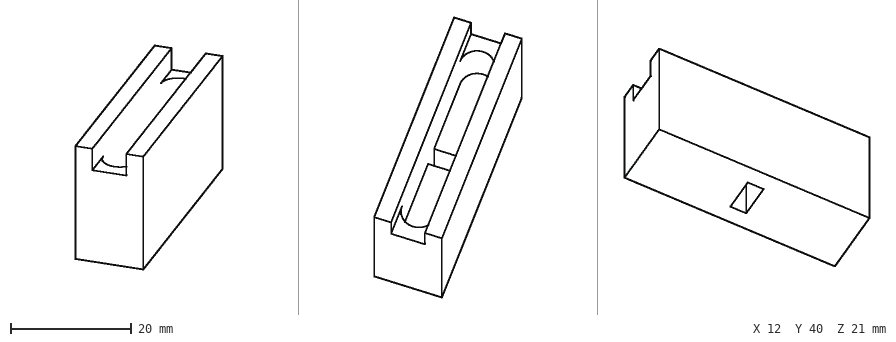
import cadquery as cq

width = 12.0
length = 40.0
height = 21.0

channel_width = width / 2
channel_depth = 4.0
channel_floor = height - channel_depth

pocket_length = 35.0
pocket_depth = 8.0

window_length = 3.0


def make_block():
    return cq.Workplane("XY").box(width, length, height, centered=(True, True, False))


def make_channel():
    return (
        cq.Workplane("XY", origin=(0, 0, channel_floor))
        .box(channel_width, length, channel_depth, centered=(True, True, False))
    )


def make_pocket():
    return (
        cq.Workplane("XY", origin=(0, 0, channel_floor))
        .slot2D(pocket_length, channel_width, 90)
        .extrude(-pocket_depth)
    )


def make_window():
    return cq.Workplane("XY").box(
        channel_width, window_length, channel_floor, centered=(True, True, False)
    )


result = make_block().cut(make_channel()).cut(make_pocket()).cut(make_window())